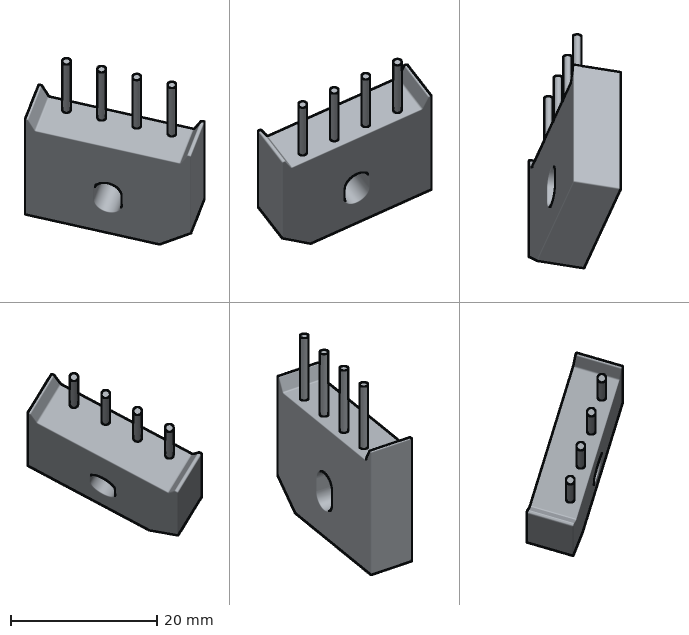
import cadquery as cq

width = 23.7
depth = 6.7
height = 27.8

ear_height = 19.8
floor_height = 17.8
ear_tip_width = 0.5
ear_base_width = 1.53
corner_cut_width = 4.48
corner_cut_height = 3.78
corner_radius = 0.2
valley_radius = 0.28
rim_radius = 0.15

slot_width = 3.86
slot_length = 5.92
slot_center_height = 7.37
slot_edge_radius = 0.1

pin_count = 4
pin_pitch = 5.0
pin_diameter = 1.2
pin_row_offset = 0.15
pin_back_distance = 1.7

half_width = width / 2
half_depth = depth / 2

ALONG_Y = cq.selectors.ParallelDirSelector(cq.Vector(0, 1, 0))


def make_body():
    """Block standing on Z = 0, centred in X and Y, with every edge rounded."""
    outline = [
        (-half_width, 0),
        (half_width - corner_cut_width, 0),
        (half_width, corner_cut_height),
        (half_width, ear_height),
        (half_width - ear_tip_width, ear_height),
        (half_width - ear_base_width, floor_height),
        (-half_width + ear_base_width, floor_height),
        (-half_width + ear_tip_width, ear_height),
        (-half_width, ear_height),
    ]
    block = cq.Workplane("XZ").polyline(outline).close().extrude(half_depth, both=True)
    near_floor = cq.selectors.BoxSelector(
        (-half_width, -half_depth, floor_height - corner_radius),
        (half_width, half_depth, floor_height + corner_radius),
    )
    block = block.edges(ALONG_Y - near_floor).fillet(corner_radius)
    block = block.edges(ALONG_Y & near_floor).fillet(valley_radius)
    return block.faces("<Y or >Y").edges().fillet(rim_radius)


def cut_slot(body):
    """Cut the upright slot through the body and round its rim on both faces."""
    slot = (
        cq.Workplane("XZ")
        .center(0, slot_center_height)
        .slot2D(slot_length, slot_width, 90)
        .extrude(half_depth, both=True)
    )
    slot_zone = cq.selectors.BoxSelector(
        (-slot_width, -depth, slot_center_height - slot_length),
        (slot_width, depth, slot_center_height + slot_length),
    )
    rim = slot_zone - ALONG_Y
    return body.cut(slot).edges(rim).fillet(slot_edge_radius)


def make_pins():
    """Row of pins starting on the recessed top face."""
    return (
        cq.Workplane("XY", origin=(pin_row_offset, half_depth - pin_back_distance, floor_height))
        .rarray(pin_pitch, 0.28, pin_count, 1)
        .circle(pin_diameter / 2)
        .extrude(height - floor_height)
    )


result = cut_slot(make_body()).union(make_pins())